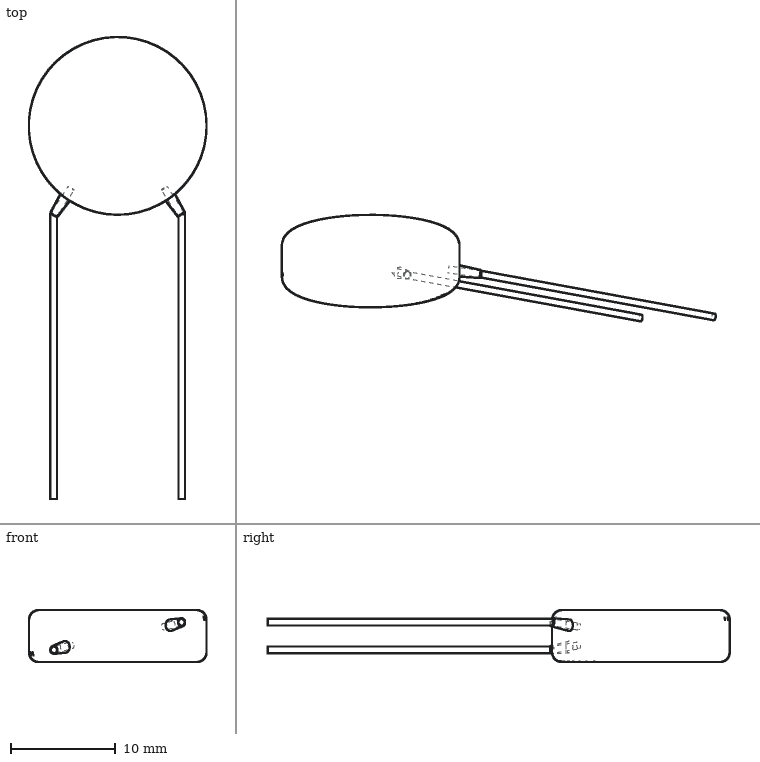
import cadquery as cq
import math

housing_diameter = 17.0
housing_height = 5.0
housing_edge_radius = 0.95

overall_length = 44.15
lead_diameter = 0.65
lead_spacing = 12.25
lead_offset_z = 1.32
bend_y = -8.5
lead_depth = 3.1

sleeve_tip_diameter = 0.8
sleeve_root_diameter = 1.3
sleeve_gap = 0.05
bend_angle = 33.0
bend_rise = 8.0

housing_radius = housing_diameter / 2
lead_end_y = housing_radius - overall_length


def bend_point(side):
    """Corner of the lead on one side: -1 is the low left lead, +1 the high right one."""
    return cq.Vector(side * lead_spacing / 2, bend_y, side * lead_offset_z)


def bent_direction(side):
    """Unit vector from the bend into the housing."""
    plan = math.radians(bend_angle)
    rise = math.radians(bend_rise)
    return cq.Vector(
        -side * math.cos(rise) * math.sin(plan),
        math.cos(rise) * math.cos(plan),
        -side * math.sin(rise),
    )


def make_lead(side):
    """Straight leg and bent end of one wire, joined by a mitred corner."""
    corner = bend_point(side)
    foot = cq.Vector(corner.x, lead_end_y, corner.z)
    tip = corner + bent_direction(side) * lead_depth
    path = cq.Workplane("XY").polyline([foot, corner, tip])
    foot_plane = cq.Plane(origin=foot, xDir=(1, 0, 0), normal=(0, 1, 0))
    return cq.Workplane(foot_plane).circle(lead_diameter / 2).sweep(path, transition="right")


def make_sleeve(side):
    """Solid cone widening from just past the bend to the depth of the lead tip."""
    direction = bent_direction(side)
    start = bend_point(side) + direction * sleeve_gap
    length = lead_depth - sleeve_gap
    cone = cq.Solid.makeCone(sleeve_tip_diameter / 2, sleeve_root_diameter / 2, length, start, direction)
    return cq.Workplane(cone)


def make_housing(leads):
    """Rounded disc with its two sleeves, bored out to fit the leads."""
    housing = cq.Workplane("XY").cylinder(housing_height, housing_radius)
    housing = housing.faces("|Z").edges().fillet(housing_edge_radius)
    for side in (-1, 1):
        housing = housing.union(make_sleeve(side))
    for lead in leads:
        housing = housing.cut(lead)
    return housing


leads = [make_lead(side) for side in (-1, 1)]
housing = make_housing(leads)

result = cq.Compound.makeCompound([housing.solids().val(), *[lead.solids().val() for lead in leads]])